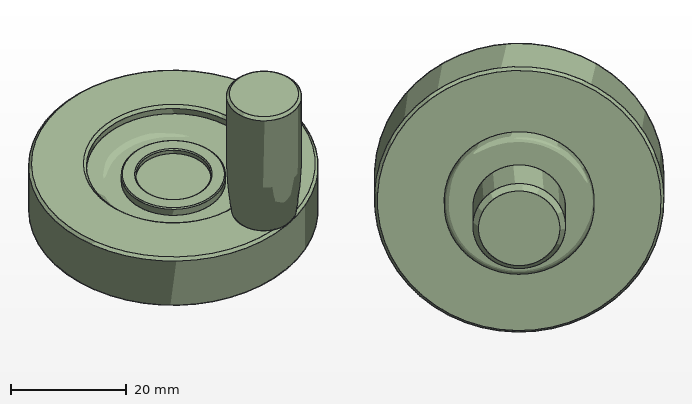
import cadquery as cq

hub_height = 9.05
flange_height = 2.95
rim_bottom = hub_height + flange_height
rim_height = 11.1
rim_top = rim_bottom + rim_height
overall_height = 50.0

overall_length = 51.5

rim_diameter = 50.0
rim_chamfer = 0.5
flange_diameter = 25.9
flange_fillet = 1.0
hub_diameter = 16.0
hub_chamfer = 1.0

dish_diameter = 30.0
dish_edge_chamfer = 0.5
dish_wall_depth = 1.7
dish_depth = 4.0
dish_floor_corner_diameter = 24.3
dish_floor_fillet = 1.7

ring_diameter = 18.0
ring_height = 1.6
ring_recess_diameter = 13.0
ring_recess_depth = 1.0
ring_edge_chamfer = 0.2

handle_diameter = 13.0
handle_offset = overall_length - rim_diameter / 2 - handle_diameter / 2
handle_base_diameter = 11.25
handle_chamfer = 0.5
handle_base_chamfer = 0.25
handle_gap = 0.15
handle_bottom = rim_top + handle_gap
taper_top = 34.1
taper_bulge = 0.15
pin_diameter = 5.0
pin_embed = 1.05


def disc(diameter, bottom, height):
    return cq.Workplane("XY").workplane(offset=bottom).circle(diameter / 2).extrude(height)


def make_wheel():
    hub = disc(hub_diameter, 0, rim_bottom).faces("<Z").chamfer(hub_chamfer)
    flange = disc(flange_diameter, hub_height, flange_height).faces("<Z").edges().fillet(flange_fillet)
    rim = disc(rim_diameter, rim_bottom, rim_height).edges().chamfer(rim_chamfer)
    return rim.union(flange).union(hub)


def make_dish_cutter():
    """Straight-walled opening that narrows along a cone to a rounded floor."""
    radius = dish_diameter / 2
    floor = rim_top - dish_depth
    dish = (
        cq.Workplane("XZ")
        .moveTo(0, floor)
        .lineTo(dish_floor_corner_diameter / 2, floor)
        .lineTo(radius, rim_top - dish_wall_depth)
        .lineTo(radius, rim_top - dish_edge_chamfer)
        .lineTo(radius + dish_edge_chamfer, rim_top)
        .lineTo(0, rim_top)
        .close()
        .revolve(360, (0, 0, 0), (0, 1, 0))
    )
    return dish.faces("<Z").edges().fillet(dish_floor_fillet)


def make_ring():
    bottom = rim_top - dish_depth
    recess = disc(ring_recess_diameter, bottom + ring_height - ring_recess_depth, ring_recess_depth)
    return disc(ring_diameter, bottom, ring_height).cut(recess).faces(">Z").edges().chamfer(ring_edge_chamfer)


def make_handle():
    """Cylindrical grip with a slightly bulged taper towards the rim."""
    radius = handle_diameter / 2
    base_radius = handle_base_diameter / 2
    taper_bottom = handle_bottom + handle_base_chamfer
    taper_middle = ((radius + base_radius) / 2 + taper_bulge, (taper_top + taper_bottom) / 2)
    grip = (
        cq.Workplane("XZ")
        .moveTo(0, handle_bottom)
        .lineTo(base_radius - handle_base_chamfer, handle_bottom)
        .lineTo(base_radius, taper_bottom)
        .threePointArc(taper_middle, (radius, taper_top))
        .lineTo(radius, overall_height - handle_chamfer)
        .lineTo(radius - handle_chamfer, overall_height)
        .lineTo(0, overall_height)
        .close()
        .revolve(360, (0, 0, 0), (0, 1, 0))
    )
    pin = disc(pin_diameter, rim_top - pin_embed, 2 * pin_embed)
    return grip.union(pin).translate((handle_offset, 0, 0))


result = make_wheel().cut(make_dish_cutter()).union(make_ring()).union(make_handle())